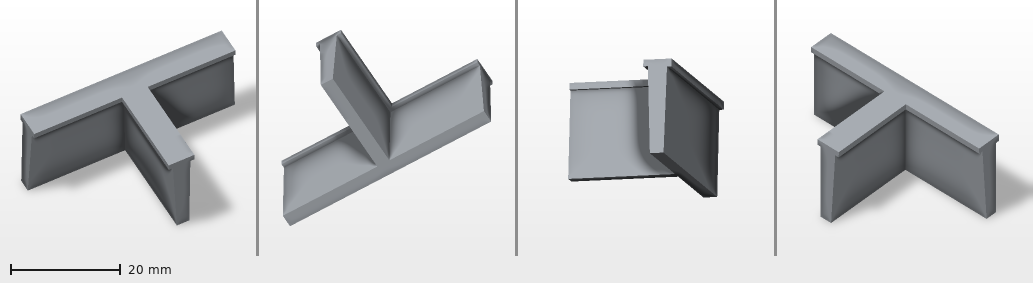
import cadquery as cq

height = 17.5
foot_length = 42.7
foot_reach = 23.9
end_flare = 0.6
top_length = foot_length - 2 * end_flare
top_reach = foot_reach - end_flare

cap_width = 5.3
outer_cap_depth = 1.5
inner_cap_depth = 1.25

wall_top_width = 3.6
wall_foot_width = 2.55
cross_wall_x = cap_width / 2


def wall_section(plane, centre, left_cap_depth, right_cap_depth):
    """Closed T-shaped outline of a tapered wall and its cap, standing on Z = 0."""
    half_cap = cap_width / 2
    half_top = wall_top_width / 2
    half_foot = wall_foot_width / 2
    left_cap_base = height - left_cap_depth
    right_cap_base = height - right_cap_depth
    points = [
        (centre - half_foot, 0),
        (centre + half_foot, 0),
        (centre + half_top, right_cap_base),
        (centre + half_cap, right_cap_base),
        (centre + half_cap, height),
        (centre - half_cap, height),
        (centre - half_cap, left_cap_base),
        (centre - half_top, left_cap_base),
    ]
    return cq.Workplane(plane).polyline(points).close()


def side_profile(plane, foot_min, foot_max, top_min, top_max):
    """Full-height closed outline whose ends lean from the foot to the top."""
    points = [(foot_min, 0), (foot_max, 0), (top_max, height), (top_min, height)]
    return cq.Workplane(plane).polyline(points).close()


def make_cross_wall():
    """Wall along Y, with both ends leaning outwards towards the foot."""
    section = wall_section("XZ", cross_wall_x, outer_cap_depth, inner_cap_depth)
    bar = section.extrude(foot_length / 2, both=True)
    profile = side_profile("YZ", -foot_length / 2, foot_length / 2, -top_length / 2, top_length / 2)
    return bar.intersect(profile.extrude(cap_width))


def make_stem_wall():
    """Wall along X, from the middle of the cross wall to its leaning free end."""
    section = wall_section("YZ", 0, inner_cap_depth, inner_cap_depth)
    bar = section.extrude(foot_reach)
    profile = side_profile("XZ", cross_wall_x, foot_reach, cross_wall_x, top_reach)
    return bar.intersect(profile.extrude(cap_width / 2, both=True))


result = make_cross_wall().union(make_stem_wall())